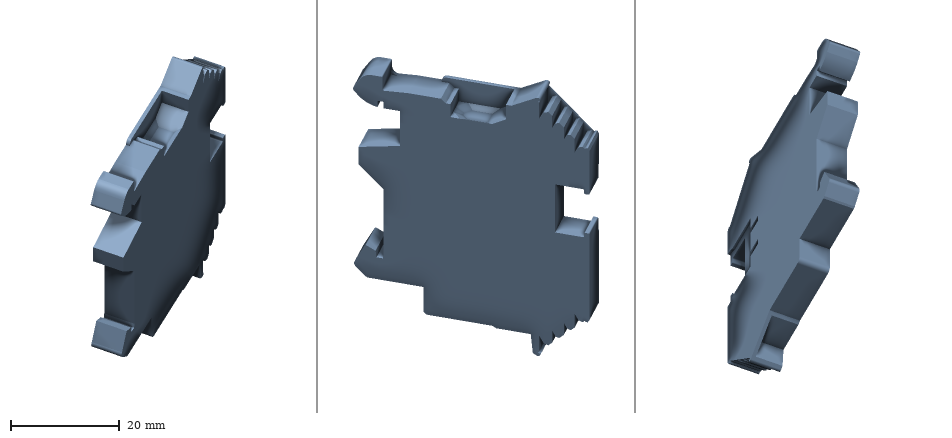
import cadquery as cq
import math

WIDTH = 6.1
DEPTH = 45.4
HEIGHT = 57.25

SIDE_WALL = 0.75

WALL_TOP_Z = 54.5
DECK_Z = 53.4
DECK_SLOPE_Y = 10.7
DECK_LOW_Z = 53.0
LOWER_DECK_Z = 5.0
FOOT_Z = 11.0
BELLY_Y = 13.5
BELLY_ROUND = 0.9

FRONT_Y = 5.9
HOOK_BACK_Y = 5.65
HOOK_TOP_Z = 56.05
HOOK_CORNER = 0.25
HOOK_FILLET = 0.35
WALL_HOOK_FILLET = 1.4

SLOPE_START = (44.5, 9.55)
SLOPE_END = (35.5, 0.8)
GROOVE_WALL = 0.4
GROOVE_SPANS = ((44.1, 42.55), (41.8, 40.5), (39.55, 38.25), (37.5, 35.7))
GROOVE_SHELF_ANGLE = 20.0
GROOVE_STEEP_ANGLE = 60.0

SLOT_Z = 33.4
SLOT_HALF = 5.3
SLOT_FLOOR_Y = 38.8
LIP_Y = 44.35
LIP_HALF = 4.3
LIP_ROUND = 0.25
RECESS_DEPTH = 0.5
RECESS_HALF = 6.85
RECESS_MOUTH_HALF = 7.4
RECESS_TAPER_Y = 43.4
RECESS_FLOOR_Y = 35.4
TAB_END_Y = 31.95
TAB_OUTER_HALF = 4.0
TAB_INNER_HALF = 2.6

POCKET_BACK_Y = 29.35
POCKET_FLOOR_Y = 26.7
POCKET_FLOOR_Z = 49.7
POCKET_FRONT_Y = 18.7
POCKET_SLOPE = math.tan(math.radians(30))
POCKET_BACK_Z = POCKET_FLOOR_Z + (POCKET_BACK_Y - POCKET_FLOOR_Y) * POCKET_SLOPE
WALL_END_Y = 15.35
LEDGE_Y = 17.85
LEDGE_Z = 52.55
BEVEL_Y = 16.9
FUNNEL_DEPTH = 0.7
FUNNEL_RIM_HALF_TIP = 0.75
FUNNEL_RIM_SHOULDER_Y = 20.55
FUNNEL_FLOOR_HALF_WIDTH = 1.55
FUNNEL_FLOOR_HALF_TIP = 0.35
FUNNEL_FLOOR_SHOULDER_Y = 21.7
FUNNEL_FLOOR_TIP_Y = 20.5
FUNNEL_X = (SIDE_WALL + WIDTH) / 2

LOWER_POCKET_Y = 34.6
LOWER_POCKET_LEAN = 0.45
LOWER_POCKET_Z = 4.6
LOWER_POCKET_FRONT_Y = 26.8


def prism(points, x_start, x_end):
    """Closed Y-Z polygon extruded from x_start to x_end."""
    return cq.Workplane("YZ").workplane(offset=x_start).polyline(points).close().extrude(x_end - x_start)


def upside_down(points):
    """Points mirrored about mid height."""
    return [(y, HEIGHT - z) for y, z in points]


def mirror_about_slot(points):
    """Points followed by their mirror images about the slot centre, in reverse order."""
    return points + [(y, 2 * SLOT_Z - z) for y, z in reversed(points)]


def housing(x_start, x_end, hook_fillet):
    """Slice of the housing, with a concave fillet at the root of the upper hook."""
    peak = [(35.2, 0.05), (35.5, 0), (36.0, 0.5)]
    rear_rib = [(44.75, 9.35), (45.05, 9.35), (DEPTH, 9.9)]
    top_peak = upside_down(peak)[::-1]
    top_rear_rib = upside_down(rear_rib)[::-1]
    profile = (
        cq.Workplane("YZ").workplane(offset=x_start)
        .moveTo(*peak[0])
        .threePointArc(peak[1], peak[2])
        .lineTo(*SLOPE_END)
        .lineTo(*SLOPE_START)
        .polyline(rear_rib + top_rear_rib, includeCurrent=True)
        .polyline(upside_down([SLOPE_START, SLOPE_END]), includeCurrent=True)
        .lineTo(*top_peak[0])
        .threePointArc(top_peak[1], top_peak[2])
        .lineTo(30.4, WALL_TOP_Z)
        .lineTo(WALL_END_Y + WALL_TOP_Z - DECK_Z, WALL_TOP_Z)
        .tangentArcPoint((WALL_END_Y, DECK_Z), relative=False)
        .lineTo(DECK_SLOPE_Y, DECK_Z)
        .lineTo(HOOK_BACK_Y, DECK_LOW_Z)
        .lineTo(HOOK_BACK_Y, HOOK_TOP_Z - HOOK_CORNER)
        .tangentArcPoint((HOOK_BACK_Y - HOOK_CORNER, HOOK_TOP_Z), relative=False)
        .lineTo(3.4, HOOK_TOP_Z)
        .threePointArc((2.3, 55.65), (1.5, 54.85))
        .lineTo(0.05, 52.6)
        .threePointArc((0, 52.3), (0.1, 52.05))
        .lineTo(1.2, 50.85)
        .threePointArc((2.8, 49.75), (4.7, 49.2))
        .lineTo(4.7, 50.55)
        .lineTo(FRONT_Y, 50.55)
        .lineTo(FRONT_Y, 49.1)
        .lineTo(9.05, 49.1)
        .lineTo(9.05, 41.4)
        .lineTo(1.1, 39.6)
        .lineTo(1.1, 35.8)
        .lineTo(FRONT_Y, 31.2)
        .lineTo(FRONT_Y, 16.7)
        .lineTo(5.7, 15.8)
        .lineTo(4.5, 15.8)
        .lineTo(4.35, 17.25)
        .lineTo(2.45, 18.15)
        .lineTo(0.45, 14.3)
        .threePointArc((0.25, 13.7), (0.45, 13.1))
        .lineTo(2.4, 11.2)
        .lineTo(2.8, FOOT_Z)
        .lineTo(BELLY_Y, FOOT_Z)
        .lineTo(BELLY_Y, LOWER_DECK_Z + BELLY_ROUND)
        .tangentArcPoint((BELLY_Y + BELLY_ROUND, LOWER_DECK_Z), relative=False)
        .lineTo(LOWER_POCKET_FRONT_Y, LOWER_DECK_Z)
        .close()
    )
    hook_root = cq.selectors.BoxSelector(
        (x_start - 0.6, HOOK_BACK_Y - 0.05, DECK_LOW_Z - 0.05), (x_end + 0.6, HOOK_BACK_Y + 0.05, DECK_LOW_Z + 0.05)
    )
    return profile.extrude(x_end - x_start).edges("|X").edges(hook_root).fillet(hook_fillet)


def rear_slot():
    outline = mirror_about_slot([
        (DEPTH + 0.6, SLOT_Z + LIP_HALF), (LIP_Y, SLOT_Z + LIP_HALF),
        (LIP_Y, SLOT_Z + SLOT_HALF), (SLOT_FLOOR_Y, SLOT_Z + SLOT_HALF),
    ])
    slot = prism(outline, 0, WIDTH)
    at_lips = cq.selectors.BoxSelector((-0.6, LIP_Y - 0.05, 0), (WIDTH + 0.6, LIP_Y + 0.05, HEIGHT))
    return slot.edges("|X").edges(at_lips).fillet(LIP_ROUND)


def round_lip_tips(body):
    """Round the rear corners of both slot lips."""
    at_tips = cq.selectors.BoxSelector(
        (-0.6, DEPTH - 0.05, SLOT_Z - LIP_HALF - 0.05), (WIDTH + 0.6, DEPTH + 0.05, SLOT_Z + LIP_HALF + 0.05)
    )
    return body.edges("|X").edges(at_tips).fillet(LIP_ROUND)


def slot_recess():
    outline = mirror_about_slot([
        (DEPTH + 0.6, SLOT_Z + RECESS_MOUTH_HALF), (LIP_Y, SLOT_Z + RECESS_MOUTH_HALF),
        (RECESS_TAPER_Y, SLOT_Z + RECESS_HALF), (RECESS_FLOOR_Y, SLOT_Z + RECESS_HALF),
        (RECESS_FLOOR_Y, SLOT_Z + TAB_OUTER_HALF), (TAB_END_Y, SLOT_Z + TAB_OUTER_HALF),
        (TAB_END_Y, SLOT_Z + TAB_INNER_HALF), (RECESS_FLOOR_Y, SLOT_Z + TAB_INNER_HALF),
    ])
    return prism(outline, 0, RECESS_DEPTH)


def slope_z(y):
    """Height of the upper marker slope at a given Y."""
    (y0, z0), (y1, z1) = SLOPE_START, SLOPE_END
    return HEIGHT - z0 - (y - y0) * (z1 - z0) / (y1 - y0)


def marker_groove(y_outer, y_inner, flip):
    """Groove across the marker slope: a gentle shelf, a steep face and an upright wall."""
    y_mid = (y_outer + y_inner) / 2
    half = y_outer - y_mid
    z_outer = slope_z(y_outer)
    z_shelf = z_outer - half * math.tan(math.radians(GROOVE_SHELF_ANGLE))
    z_floor = z_shelf - half * math.tan(math.radians(GROOVE_STEEP_ANGLE))
    outline = [
        (y_outer, z_outer), (y_mid, z_shelf), (y_inner, z_floor),
        (y_inner, slope_z(y_inner)), (y_outer, slope_z(y_inner)),
    ]
    return prism(upside_down(outline) if flip else outline, GROOVE_WALL, WIDTH)


def upper_pocket():
    outline = [
        (POCKET_BACK_Y, HEIGHT), (POCKET_BACK_Y, POCKET_BACK_Z),
        (POCKET_FLOOR_Y, POCKET_FLOOR_Z), (POCKET_FRONT_Y, POCKET_FLOOR_Z),
        (POCKET_FRONT_Y, LEDGE_Z), (LEDGE_Y, LEDGE_Z), (BEVEL_Y, DECK_Z),
        (WALL_END_Y, DECK_Z), (WALL_END_Y, HEIGHT),
    ]
    return prism(outline, SIDE_WALL, WIDTH)


def funnel():
    """Six-sided wire funnel sunk in the floor of the upper pocket."""
    def hexagon(half_width, back_y, shoulder_y, half_tip, tip_y):
        left = [
            (FUNNEL_X - half_width, back_y),
            (FUNNEL_X - half_width, shoulder_y),
            (FUNNEL_X - half_tip, tip_y),
        ]
        return left + [(2 * FUNNEL_X - x, y) for x, y in reversed(left)]

    rim_half_width = (WIDTH - SIDE_WALL) / 2
    rim = hexagon(
        rim_half_width, POCKET_FLOOR_Y, FUNNEL_RIM_SHOULDER_Y, FUNNEL_RIM_HALF_TIP, POCKET_FRONT_Y
    )
    floor_back_y = POCKET_FLOOR_Y - FUNNEL_DEPTH / POCKET_SLOPE
    floor = hexagon(
        FUNNEL_FLOOR_HALF_WIDTH, floor_back_y, FUNNEL_FLOOR_SHOULDER_Y, FUNNEL_FLOOR_HALF_TIP, FUNNEL_FLOOR_TIP_Y
    )
    return (
        cq.Workplane("XY").workplane(offset=POCKET_FLOOR_Z)
        .polyline(rim).close()
        .workplane(offset=-FUNNEL_DEPTH)
        .polyline(floor).close()
        .loft(ruled=True)
    )


def lower_pocket():
    outline = [
        (LOWER_POCKET_Y - LOWER_POCKET_LEAN, LOWER_POCKET_Z), (LOWER_POCKET_Y, 0),
        (LOWER_POCKET_FRONT_Y, 0), (LOWER_POCKET_FRONT_Y, LOWER_POCKET_Z),
    ]
    return prism(outline, SIDE_WALL, WIDTH)


body = housing(0, SIDE_WALL, WALL_HOOK_FILLET).union(housing(SIDE_WALL, WIDTH, HOOK_FILLET))
body = round_lip_tips(body.cut(rear_slot()))
body = body.cut(slot_recess())
for y_outer, y_inner in GROOVE_SPANS:
    for flip in (False, True):
        body = body.cut(marker_groove(y_outer, y_inner, flip))
body = body.cut(upper_pocket()).cut(funnel()).cut(lower_pocket())

result = body